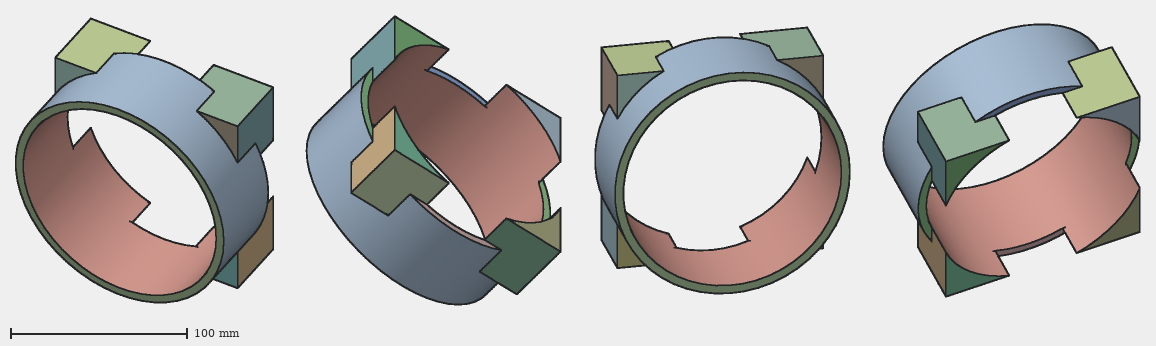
import cadquery as cq

ring_outer_diameter = 137.0
ring_bore_diameter = 127.0
ring_length = 50.0

lug_size = 40.0
lug_overhang = 20.0
lug_span = 120.0

lug_center_offset = (lug_span - lug_size) / 2
lug_rear = ring_length + lug_overhang
lug_center_y = lug_rear - lug_size / 2


def cylinder_along_y(diameter, length):
    """Solid cylinder on the Y axis, from y = 0 to y = length."""
    return cq.Workplane("XZ").circle(diameter / 2).extrude(-length)


def lug(side_x, side_z):
    """Cube in the corner given by the signs of X and Z."""
    center = (side_x * lug_center_offset, lug_center_y, side_z * lug_center_offset)
    return cq.Workplane("XY").box(lug_size, lug_size, lug_size).translate(center)


body = cylinder_along_y(ring_outer_diameter, ring_length)
for side_x in (-1, 1):
    for side_z in (-1, 1):
        body = body.union(lug(side_x, side_z))

result = body.cut(cylinder_along_y(ring_bore_diameter, lug_rear))